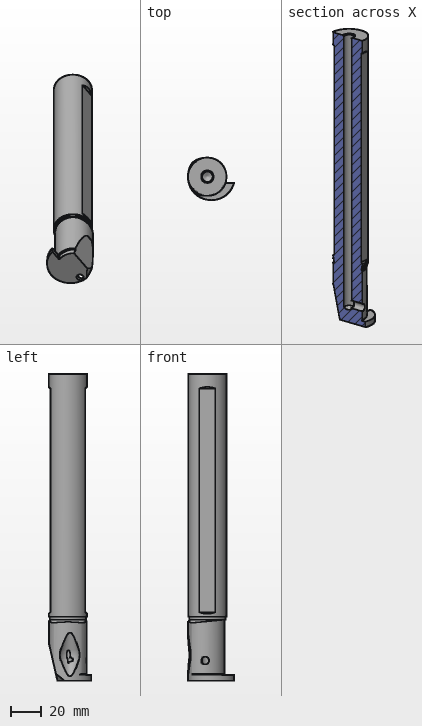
import cadquery as cq
import math

total_height = 199.5
total_width = 30.12
total_depth = 27.82

shank_radius = 12.5
shank_bottom = 41.7
flat_distance = 11.35
flat_top_setback = 9.6
flat_top = total_height - flat_top_setback
flat_bottom = 44.7
flat_ramp = shank_radius - flat_distance
bore_radius = 3.4
bore_mouth_radius = 4.1
bore_floor = 8.0
bore_end_slope = math.radians(30)

neck_radius = 11.9
shoulder_top = 39.7
shoulder_top_radius = 11.3

head_radius = 12.4
head_center_x = -1.2
undercut = 0.7

hook_radius = total_depth - shank_radius
hook_left = -12.7
hook_center_x = hook_left + hook_radius
hook_thickness = 4.0
hook_tip_x = hook_left + total_width
hook_end_y = -math.sqrt(hook_radius**2 - (hook_tip_x - hook_center_x) ** 2)

head_edge_x = (hook_center_x + head_center_x) / 2 - (hook_radius**2 - head_radius**2) / (
    2 * (hook_center_x - head_center_x)
)

relief_top = 23.8
relief_top_y = 12.2
relief_bottom_y = 6.8
corner_left = (-12.9, 1.9, 0.0)
corner_right = (-6.75, 6.5, 0.0)
corner_upper = (-10.8, 8.0, 4.8)

pocket_center = (-9.6, -1.1)
pocket_radius = 6.3
pocket_belly_radius = 6.6
pocket_belly_bottom = 14.1
pocket_belly_top = 19.7
pocket_opening_bottom = 3.2
pocket_opening_top = 31.2

cross_hole_radius = 2.5
cross_hole_x = -1.4
cross_hole_z = 13.2

margin = 30.0


def upright_cylinder(radius, center_x, bottom, top):
    return cq.Workplane("XY", origin=(center_x, 0, bottom)).circle(radius).extrude(top - bottom)


def upright_revolve(profile, center_x=0.0):
    """Revolve (radius, height) points about an upright axis."""
    plane = cq.Workplane("XZ", origin=(center_x, 0, 0))
    return plane.polyline(profile).close().revolve(360, (0, 0, 0), (0, 1, 0))


def flat_cutter(side):
    """Material removed for the clamping flat on the +Y (side = 1) or -Y (side = -1) face."""
    profile = [
        (side * flat_distance, flat_bottom),
        (side * shank_radius, flat_bottom - flat_ramp),
        (side * shank_radius, flat_top + flat_ramp),
        (side * flat_distance, flat_top),
    ]
    return cq.Workplane("YZ").polyline(profile).close().extrude(shank_radius, both=True)


def make_shank():
    shank = upright_cylinder(shank_radius, 0, shank_bottom, total_height)
    for side in (-1, 1):
        shank = shank.cut(flat_cutter(side))
    return shank.union(upright_cylinder(neck_radius, 0, shoulder_top, shank_bottom))


def make_head():
    inner_radius = head_radius - undercut
    small_cylinder = upright_revolve(
        [
            (0, 0),
            (inner_radius, 0),
            (inner_radius, hook_thickness),
            (head_radius, hook_thickness + undercut),
            (head_radius, shoulder_top),
            (0, shoulder_top),
        ],
        head_center_x,
    )
    left_side = cq.Workplane("XY").box(2 * margin, 2 * margin, shoulder_top, centered=(False, True, False))
    left_side = left_side.translate((head_edge_x - 2 * margin, 0, 0))
    small_cylinder = small_cylinder.union(
        upright_cylinder(head_radius, head_center_x, 0, shoulder_top).intersect(left_side)
    )
    large_cylinder = upright_cylinder(hook_radius, hook_center_x, 0, shoulder_top)
    shoulder = upright_revolve(
        [
            (0, 0),
            (hook_radius, 0),
            (hook_radius, shoulder_top - hook_radius + shoulder_top_radius),
            (shoulder_top_radius, shoulder_top),
            (0, shoulder_top),
        ]
    )
    return small_cylinder.intersect(large_cylinder).intersect(shoulder)


def make_hook():
    disc = upright_cylinder(hook_radius, hook_center_x, 0, hook_thickness)
    open_side = cq.Workplane("XY").box(margin, margin, hook_thickness, centered=False)
    return disc.cut(open_side.translate((0, hook_end_y, 0)))


def back_relief():
    profile = [
        (relief_bottom_y, 0),
        (relief_top_y, relief_top),
        (margin, relief_top),
        (margin, 0),
    ]
    return cq.Workplane("YZ").polyline(profile).close().extrude(margin, both=True)


def corner_bevel():
    """Block whose inner face passes through the three corner points."""
    start = cq.Vector(*corner_left)
    along = cq.Vector(*corner_right) - start
    rise = cq.Vector(*corner_upper) - start
    outward = rise.cross(along)
    plane = cq.Plane(origin=corner_left, xDir=along, normal=outward)
    return cq.Workplane(plane).rect(margin, margin).extrude(margin)


def make_bore():
    mouth_depth = bore_mouth_radius - bore_radius
    return upright_revolve(
        [
            (0, bore_floor),
            (bore_radius, bore_floor + bore_radius * math.tan(bore_end_slope)),
            (bore_radius, total_height - mouth_depth),
            (bore_mouth_radius, total_height),
            (0, total_height),
        ]
    )


def make_pocket():
    reach = pocket_center[0] - hook_left
    stretch = pocket_radius / (pocket_radius - reach)
    lower_tip = pocket_belly_bottom - (pocket_belly_bottom - pocket_opening_bottom) * stretch
    upper_tip = pocket_belly_top + (pocket_opening_top - pocket_belly_top) * stretch
    belly_middle = (pocket_belly_bottom + pocket_belly_top) / 2
    profile = (
        cq.Workplane("XZ", origin=(*pocket_center, 0))
        .moveTo(0, lower_tip)
        .lineTo(pocket_radius, pocket_belly_bottom)
        .threePointArc((pocket_belly_radius, belly_middle), (pocket_radius, pocket_belly_top))
        .lineTo(0, upper_tip)
        .close()
    )
    return profile.revolve(360, (0, 0, 0), (0, 1, 0))


def make_cross_hole():
    start = cq.Workplane("XZ", origin=(cross_hole_x, 0, cross_hole_z))
    return start.circle(cross_hole_radius).extrude(margin)


result = make_shank().union(make_head()).union(make_hook())
for cutter in (back_relief(), corner_bevel(), make_bore(), make_pocket(), make_cross_hole()):
    result = result.cut(cutter)